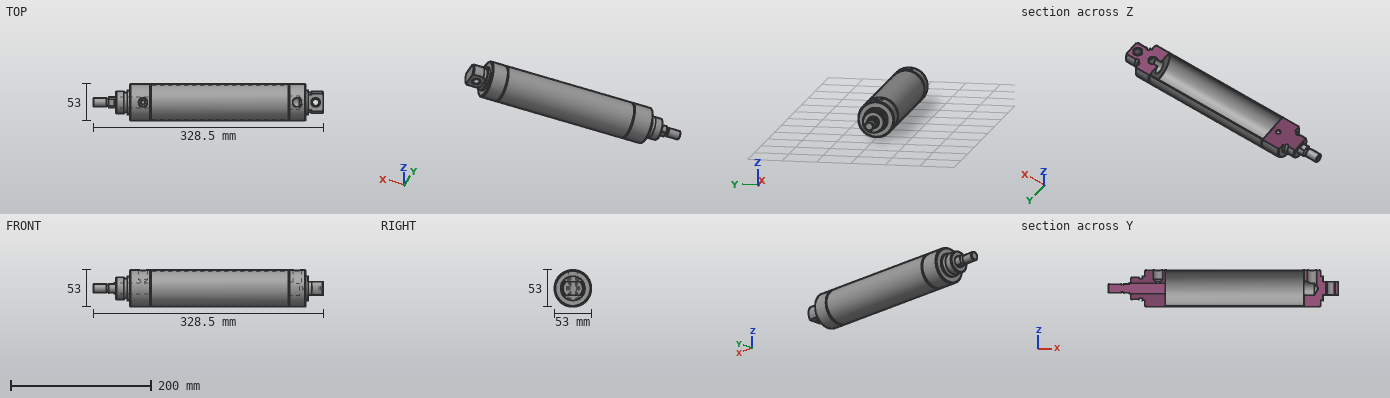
import cadquery as cq
import math

LENGTH = 328.5

BODY_DIA = 53.0
BODY_RADIUS = BODY_DIA / 2
END_CHAMFER = 1.5
BARREL_START = 81.5
BARREL_END = 279.2
BARREL_BORE_DIA = 49.0
JOINT_CHAMFER = 1.0
HEAD_START = 52.0
CAP_END = 303.5

PILOT_DIA = 34.8
FRONT_PILOT_START = 48.5
REAR_PILOT_END = 306.5
THREAD_DIA = 32.0
RELIEF_DIA = 28.5
RELIEF_RUNOUT = 2.5
RELIEF_ARC_RADIUS = 2.5
NOSE_START = 32.0
NOSE_CHAMFER = 1.3
ROD_BORE_CHAMFER = 0.5
NOSE_THREAD_END = 43.7
RELIEF_FILLET = 0.5

ROD_DIA = 15.8
ROD_THREAD_DIA = 12.8
ROD_TIP_CHAMFER = 1.0
ROD_THREAD_LENGTH = 18.5
ROD_NECK_DIA = 11.0
ROD_NECK_FILLET = 1.3
ROD_SHOULDER = 22.0
FLATS_WIDTH = 12.8
FLATS_END = 30.2

PORT_DIA = 12.8
FRONT_PORT_X = 71.0
FRONT_PORT_DEPTH = 13.0
PORT_PASSAGE_DIA = 6.2
REAR_PORT_X = 290.7
FRONT_PORT_TIP_ANGLE = 90.0
CAP_BORE_DIA = 19.0
CAP_BORE_END = 293.7
CAP_BORE_TIP_ANGLE = 118.0

LUG_DIA = 31.2
LUG_THICKNESS = 19.0
LUG_THREAD_START = 311.7
LUG_CHAMFER = 1.5
PIVOT_X = 317.3
BUSHING_OUTER_DIA = 12.8
BUSHING_BORE_DIA = 9.5


def x_cylinder(diameter, start, end):
    """Cylinder about the X axis between two X positions."""
    return cq.Workplane("YZ", origin=(start, 0, 0)).circle(diameter / 2).extrude(end - start)


def z_cylinder(diameter, x, bottom, top):
    """Cylinder parallel to Z at a given X, between two heights."""
    return cq.Workplane("XY", origin=(x, 0, bottom)).circle(diameter / 2).extrude(top - bottom)


def cone_cutter(diameter, tip_angle, base_center, direction):
    """Pointed end of a drilled hole, starting at the centre of its base."""
    length = diameter / 2 / math.tan(math.radians(tip_angle / 2))
    cone = cq.Solid.makeCone(diameter / 2, 0, length, cq.Vector(*base_center), cq.Vector(*direction))
    return cq.Workplane(cone)


def revolve_about_x(profile):
    """Close a half outline drawn in the XY plane and turn it about the X axis."""
    return profile.close().revolve(360, (0, 0, 0), (1, 0, 0))


def make_rod():
    thread_radius = ROD_THREAD_DIA / 2
    neck_radius = ROD_NECK_DIA / 2
    thread_runout = thread_radius - neck_radius
    rod = revolve_about_x(
        cq.Workplane("XY")
        .moveTo(0, 0)
        .lineTo(0, thread_radius - ROD_TIP_CHAMFER)
        .lineTo(ROD_TIP_CHAMFER, thread_radius)
        .lineTo(ROD_THREAD_LENGTH, thread_radius)
        .lineTo(ROD_THREAD_LENGTH + thread_runout, neck_radius)
        .lineTo(ROD_SHOULDER - ROD_NECK_FILLET, neck_radius)
        .radiusArc((ROD_SHOULDER, neck_radius + ROD_NECK_FILLET), -ROD_NECK_FILLET)
        .lineTo(ROD_SHOULDER, ROD_DIA / 2)
        .lineTo(BARREL_START, ROD_DIA / 2)
        .lineTo(BARREL_START, 0)
    )
    flats_length = FLATS_END - ROD_SHOULDER
    flat_depth = (ROD_DIA - FLATS_WIDTH) / 2
    for side in (1, -1):
        flat_z = side * (FLATS_WIDTH + flat_depth) / 2
        rod = rod.cut(
            cq.Workplane("XY")
            .box(flats_length, ROD_DIA, flat_depth)
            .translate((ROD_SHOULDER + flats_length / 2, 0, flat_z))
        )
    return rod


def make_head():
    relief_radius = RELIEF_DIA / 2
    head = revolve_about_x(
        cq.Workplane("XY")
        .moveTo(NOSE_START + ROD_BORE_CHAMFER, ROD_DIA / 2)
        .lineTo(NOSE_START, ROD_DIA / 2 + ROD_BORE_CHAMFER)
        .lineTo(NOSE_START, THREAD_DIA / 2 - NOSE_CHAMFER)
        .lineTo(NOSE_START + NOSE_CHAMFER, THREAD_DIA / 2)
        .lineTo(NOSE_THREAD_END, THREAD_DIA / 2)
        .radiusArc((NOSE_THREAD_END + RELIEF_RUNOUT, relief_radius), -RELIEF_ARC_RADIUS)
        .lineTo(FRONT_PILOT_START - RELIEF_FILLET, relief_radius)
        .radiusArc((FRONT_PILOT_START, relief_radius + RELIEF_FILLET), -RELIEF_FILLET)
        .lineTo(FRONT_PILOT_START, PILOT_DIA / 2)
        .lineTo(HEAD_START, PILOT_DIA / 2)
        .lineTo(HEAD_START, BODY_RADIUS - END_CHAMFER)
        .lineTo(HEAD_START + END_CHAMFER, BODY_RADIUS)
        .lineTo(BARREL_START - JOINT_CHAMFER, BODY_RADIUS)
        .lineTo(BARREL_START, BODY_RADIUS - JOINT_CHAMFER)
        .lineTo(BARREL_START, ROD_DIA / 2)
    )
    port_floor = BODY_RADIUS - FRONT_PORT_DEPTH
    port_tip = cone_cutter(PORT_DIA, FRONT_PORT_TIP_ANGLE, (FRONT_PORT_X, 0, port_floor), (0, 0, -1))
    port = z_cylinder(PORT_DIA, FRONT_PORT_X, port_floor, BODY_RADIUS)
    passage = z_cylinder(PORT_PASSAGE_DIA, FRONT_PORT_X, 0, BODY_RADIUS)
    return head.cut(port).cut(port_tip).cut(passage)


def make_barrel():
    bore_radius = BARREL_BORE_DIA / 2
    return revolve_about_x(
        cq.Workplane("XY")
        .moveTo(BARREL_START, bore_radius)
        .lineTo(BARREL_START, BODY_RADIUS - JOINT_CHAMFER)
        .lineTo(BARREL_START + JOINT_CHAMFER, BODY_RADIUS)
        .lineTo(BARREL_END - JOINT_CHAMFER, BODY_RADIUS)
        .lineTo(BARREL_END, BODY_RADIUS - JOINT_CHAMFER)
        .lineTo(BARREL_END, bore_radius)
    )


def make_lug():
    relief_radius = RELIEF_DIA / 2
    stem = revolve_about_x(
        cq.Workplane("XY")
        .moveTo(CAP_END, 0)
        .lineTo(CAP_END, relief_radius)
        .lineTo(LUG_THREAD_START - RELIEF_RUNOUT, relief_radius)
        .radiusArc((LUG_THREAD_START, LUG_DIA / 2), -RELIEF_ARC_RADIUS)
        .lineTo(LENGTH - LUG_CHAMFER, LUG_DIA / 2)
        .lineTo(LENGTH, LUG_DIA / 2 - LUG_CHAMFER)
        .lineTo(LENGTH, 0)
    )
    slab = cq.Workplane("XY").box(2 * LENGTH, LUG_DIA, LUG_THICKNESS)
    pivot_hole = z_cylinder(BUSHING_OUTER_DIA, PIVOT_X, -LUG_THICKNESS, LUG_THICKNESS)
    return stem.intersect(slab).cut(pivot_hole)


def make_cap():
    body = x_cylinder(BODY_DIA, BARREL_END, CAP_END)
    body = body.faces(">X").chamfer(END_CHAMFER).faces("<X").chamfer(JOINT_CHAMFER)
    pilot = x_cylinder(PILOT_DIA, CAP_END, REAR_PILOT_END)
    bore = x_cylinder(CAP_BORE_DIA, BARREL_END, CAP_BORE_END)
    bore_tip = cone_cutter(CAP_BORE_DIA, CAP_BORE_TIP_ANGLE, (CAP_BORE_END, 0, 0), (1, 0, 0))
    port = z_cylinder(PORT_DIA, REAR_PORT_X, 0, BODY_RADIUS)
    return body.union(pilot).union(make_lug()).cut(bore).cut(bore_tip).cut(port)


def make_bushing():
    sleeve = z_cylinder(BUSHING_OUTER_DIA, PIVOT_X, -LUG_THICKNESS / 2, LUG_THICKNESS / 2)
    return sleeve.cut(z_cylinder(BUSHING_BORE_DIA, PIVOT_X, -LUG_THICKNESS, LUG_THICKNESS))


rod = make_rod()
head = make_head()
barrel = make_barrel()
cap = make_cap()
bushing = make_bushing()

result = cq.Compound.makeCompound(
    [rod.val(), head.val(), barrel.val(), cap.val(), bushing.val()]
)